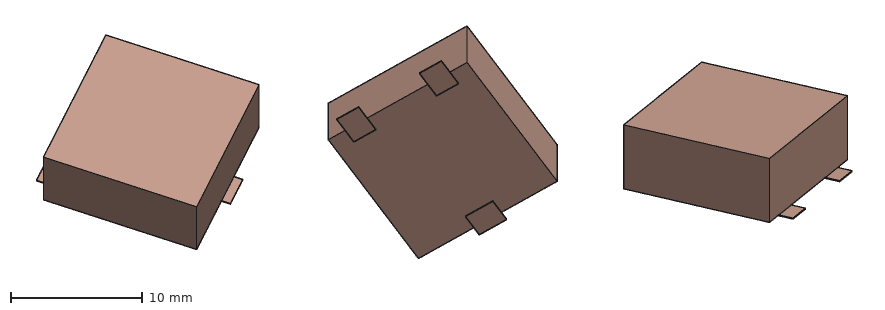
import cadquery as cq

housing_side = 12.6
total_height = 5.5
terminal_thickness = 0.1
housing_height = total_height - terminal_thickness

total_length = 14.51
left_overhang = 1.2
right_overhang = total_length - housing_side - left_overhang
left_terminal_length = 2.4
left_terminal_width = 2.0
left_terminal_pitch = 7.5
right_terminal_length = 1.95
right_terminal_width = 2.5


def make_housing():
    """Block centred on the Z axis, with its underside on the terminal tops."""
    return (
        cq.Workplane("XY", origin=(0, 0, terminal_thickness))
        .rect(housing_side, housing_side)
        .extrude(housing_height)
    )


def make_terminal(length, width, x_center, y_center):
    """Flat rectangular strip standing on Z = 0."""
    return (
        cq.Workplane("XY")
        .center(x_center, y_center)
        .rect(length, width)
        .extrude(terminal_thickness)
    )


housing = make_housing()

left_x = -housing_side / 2 - left_overhang + left_terminal_length / 2
left_terminals = [
    make_terminal(left_terminal_length, left_terminal_width, left_x, side * left_terminal_pitch / 2)
    for side in (-1, 1)
]

right_x = housing_side / 2 + right_overhang - right_terminal_length / 2
right_terminal = make_terminal(right_terminal_length, right_terminal_width, right_x, 0)

result = cq.Compound.makeCompound(
    [housing.val(), *[terminal.val() for terminal in left_terminals], right_terminal.val()]
)